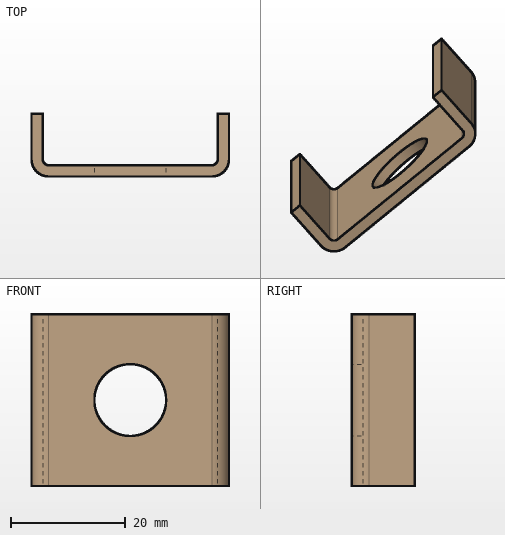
import cadquery as cq

width = 34.5
depth = 11.0
height = 30.0
thickness = 2.0
inner_bend_radius = 1.0
hole_diameter = 12.5

outer_bend_radius = inner_bend_radius + thickness


def block(block_width, front_y, bend_radius):
    """Full-height block from front_y to the flange ends, rounded on its two front vertical edges."""
    return (
        cq.Workplane("XY")
        .center(0, (front_y + depth) / 2)
        .rect(block_width, depth - front_y)
        .extrude(height)
        .edges("|Z and <Y")
        .fillet(bend_radius)
    )


def channel():
    """Bent U-shaped sheet: web on the XZ plane, flanges pointing toward +Y."""
    outside = block(width, 0, outer_bend_radius)
    inside = block(width - 2 * thickness, thickness, inner_bend_radius)
    return outside.cut(inside)


def web_hole():
    """Cylinder through the web, centred on it."""
    return (
        cq.Workplane("XZ")
        .center(0, height / 2)
        .circle(hole_diameter / 2)
        .extrude(-thickness)
    )


result = channel().cut(web_hole())